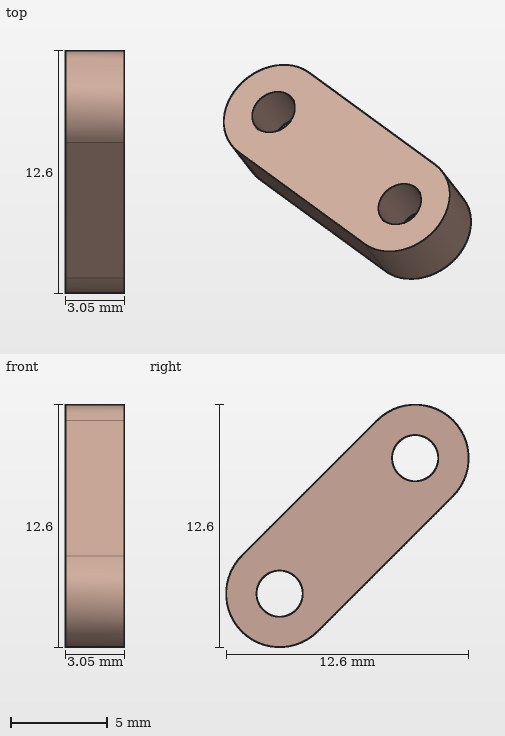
import cadquery as cq

thickness = 3.05
hole_spacing = 9.92
end_radius = 2.775
hole_diameter = 2.38
tilt_angle = 45.0


def link_body():
    """Rounded-end bar, centred on the origin with its length along Y."""
    overall_length = hole_spacing + 2 * end_radius
    return (
        cq.Workplane("YZ")
        .slot2D(overall_length, 2 * end_radius)
        .extrude(thickness / 2, both=True)
    )


def pivot_holes():
    """Cylinders for the two through holes, concentric with the rounded ends."""
    half_spacing = hole_spacing / 2
    return (
        cq.Workplane("YZ")
        .pushPoints([(-half_spacing, 0), (half_spacing, 0)])
        .circle(hole_diameter / 2)
        .extrude(thickness / 2, both=True)
    )


link = link_body().cut(pivot_holes())
result = link.rotate((0, 0, 0), (1, 0, 0), tilt_angle)